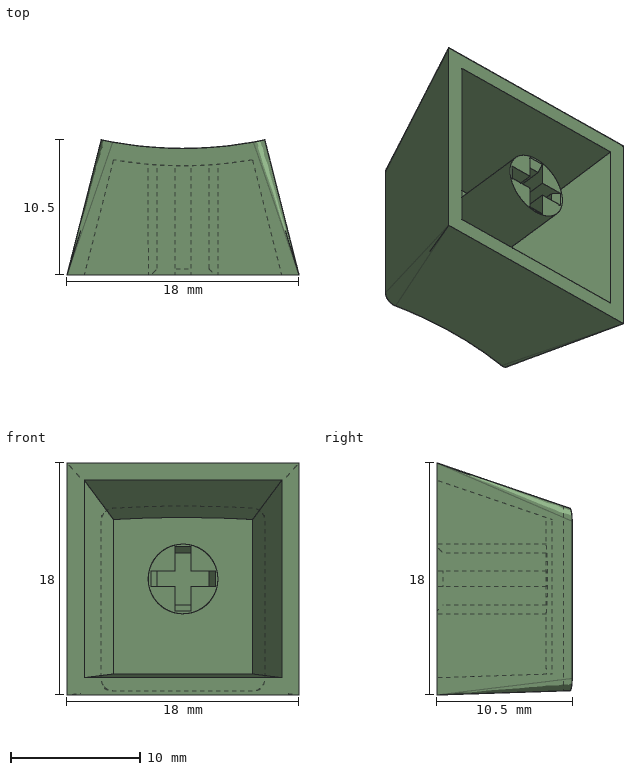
import cadquery as cq
import math

base_size = 18.0
height = 10.5
wall = 1.35

top_width = 12.68
rear_setback = 3.58
front_setback = 0.34
top_corner_radius = 0.95
base_corner_radius = 0.01

dish_radius = 30.0

stem_diameter = 5.4
cross_span = 4.0
bar_along_x_width = 1.2
bar_along_z_width = 1.27
cross_lead_in = 0.5

top_depth = base_size - rear_setback - front_setback
top_center_z = (front_setback - rear_setback) / 2
dish_axis_y = height + math.sqrt(dish_radius**2 - (top_width / 2) ** 2)
opening_size = base_size - 2 * wall


def plane_at(y):
    """Plane parallel to the base, with local axes +X and +Z at the given height."""
    return cq.Plane(origin=(0, y, 0), xDir=(1, 0, 0), normal=(0, -1, 0))


def rounded_wire(width, depth, radius, center_z, y):
    """Rectangle with rounded corners, in the plane at height y."""
    wire = cq.Workplane(plane_at(y)).center(0, center_z).rect(width, depth).val()
    return wire.fillet2D(radius, wire.Vertices())


def dish_cutter(radius):
    """Cylinder along Z about the dish axis, longer than the keycap."""
    return (
        cq.Workplane("XY")
        .center(0, dish_axis_y)
        .circle(radius)
        .extrude(base_size, both=True)
    )


def make_shell():
    base = rounded_wire(base_size, base_size, base_corner_radius, 0, 0)
    top = rounded_wire(top_width, top_depth, top_corner_radius, top_center_z, height)
    taper = cq.Workplane(cq.Solid.makeLoft([base, top], True))
    return taper.cut(dish_cutter(dish_radius))


def make_cavity():
    """Sharp-cornered hollow with walls parallel to the outside and a floor following the dish."""
    taper = (
        cq.Workplane(plane_at(0))
        .rect(opening_size, opening_size)
        .workplane(offset=-height)
        .center(0, top_center_z)
        .rect(top_width - 2 * wall, top_depth - 2 * wall)
        .loft(ruled=True)
    )
    return taper.cut(dish_cutter(dish_radius + wall))


def make_bar(span, width, along_x):
    """One bar of the cross: a slot to full height with chamfered ends at the mouth."""
    half = span / 2
    mouth = half + cross_lead_in
    profile = [
        (-mouth, 0),
        (-half, cross_lead_in),
        (-half, height),
        (half, height),
        (half, cross_lead_in),
        (mouth, 0),
    ]
    bar = cq.Workplane("XY").polyline(profile).close().extrude(width / 2, both=True)
    if along_x:
        return bar
    return bar.rotate((0, 0, 0), (0, 1, 0), 90)


def make_stem():
    stem = cq.Workplane(plane_at(0)).circle(stem_diameter / 2).extrude(-height)
    stem = stem.cut(make_bar(cross_span, bar_along_x_width, True))
    return stem.cut(make_bar(cross_span, bar_along_z_width, False))


hollow = make_cavity().cut(make_stem())
result = cq.Workplane(make_shell().cut(hollow).val())